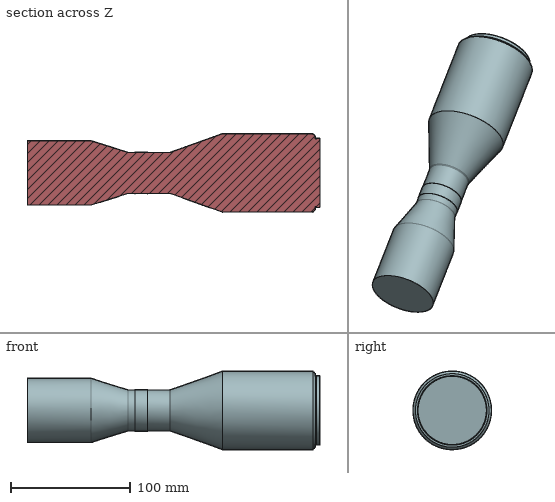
import cadquery as cq
import math

TOTAL_LENGTH = 245.2

FRONT_RADIUS = 27.0
NECK_RADIUS = 17.3
BAND_RADIUS = 17.5
BODY_RADIUS = 33.0
GROOVE_RADIUS = 28.5
CAP_RADIUS = 29.1

FRONT_END = 53.5
NECK_START = 84.3
BAND_START = 90.3
BAND_END = 100.7
NECK_END = 119.2
BODY_START = 163.5
BODY_END = 241.2

NECK_BLEND_RADIUS = 2.5
BODY_CHAMFER = 2.2
GROOVE_WIDTH = 0.8
CAP_CHAMFER = 0.5

CONE_ANGLE = math.atan2(BODY_RADIUS - NECK_RADIUS, BODY_START - NECK_END)


def neck_blend_point(angle):
    """Point on the neck blend arc where its tangent has the given slope angle."""
    return (
        NECK_END + NECK_BLEND_RADIUS * math.sin(angle),
        NECK_RADIUS + NECK_BLEND_RADIUS * (1 - math.cos(angle)),
    )


def turned_blank():
    """Solid of revolution about X: front barrel, waist, body and end cap."""
    groove_end = BODY_END + GROOVE_WIDTH
    profile = (
        cq.Workplane("XY")
        .moveTo(0, 0)
        .lineTo(0, FRONT_RADIUS)
        .lineTo(FRONT_END, FRONT_RADIUS)
        .lineTo(NECK_START, NECK_RADIUS)
        .lineTo(BAND_START, NECK_RADIUS)
        .lineTo(BAND_START, BAND_RADIUS)
        .lineTo(BAND_END, BAND_RADIUS)
        .lineTo(BAND_END, NECK_RADIUS)
        .lineTo(NECK_END, NECK_RADIUS)
        .threePointArc(neck_blend_point(CONE_ANGLE / 2), neck_blend_point(CONE_ANGLE))
        .lineTo(BODY_START, BODY_RADIUS)
        .lineTo(BODY_END - BODY_CHAMFER, BODY_RADIUS)
        .lineTo(BODY_END, BODY_RADIUS - BODY_CHAMFER)
        .lineTo(BODY_END, GROOVE_RADIUS)
        .lineTo(groove_end, GROOVE_RADIUS)
        .lineTo(groove_end, CAP_RADIUS)
        .lineTo(TOTAL_LENGTH - CAP_CHAMFER, CAP_RADIUS)
        .lineTo(TOTAL_LENGTH, CAP_RADIUS - CAP_CHAMFER)
        .lineTo(TOTAL_LENGTH, 0)
        .close()
    )
    return profile.revolve(360, (0, 0, 0), (1, 0, 0))


result = turned_blank()